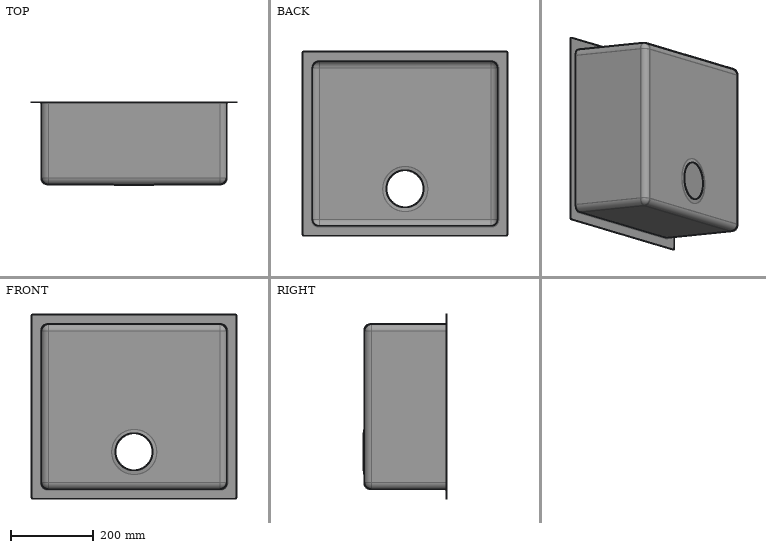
import cadquery as cq

rim_width = 500
rim_height = 450
rim_thickness = 1.0
rim_corner_radius = 5.0

bowl_width = 453.0
bowl_height = 403.0
bowl_depth = 201.0
wall_thickness = rim_thickness
bowl_edge_radius = 17.0
rim_blend_radius = 1.5

total_depth = 202.5
drain_outer_diameter = 110.0
drain_hole_diameter = 90.0
drain_height = -110.0
drain_drop = total_depth - bowl_depth


def block(width, height, depth):
    """Box centred in X and Z, running from the rim face at Y = 0 toward -Y."""
    return cq.Workplane("XZ").rect(width, height).extrude(depth)


def rounded_bowl(inset):
    """Solid bowl shape, moved inward from the outer surface by the inset."""
    radius = bowl_edge_radius - inset
    body = block(bowl_width - 2 * inset, bowl_height - 2 * inset, bowl_depth - inset)
    return body.edges("|Y").fillet(radius).faces("<Y").edges().fillet(radius)


def drain_seat(offset):
    """Tapered plug below the bowl floor, moved toward +Y by the offset."""
    return (
        cq.Workplane("XZ", origin=(0, offset - bowl_depth, drain_height))
        .circle(drain_outer_diameter / 2)
        .workplane(offset=drain_drop)
        .circle(drain_hole_diameter / 2)
        .loft()
    )


rim = block(rim_width, rim_height, rim_thickness).edges("|Y").fillet(rim_corner_radius)
outside = rim.union(rounded_bowl(0))

selection_margin = rim_thickness / 2
root_x = bowl_width / 2 + selection_margin
root_z = bowl_height / 2 + selection_margin
wall_root = cq.selectors.BoxSelector(
    (-root_x, -rim_thickness - selection_margin, -root_z),
    (root_x, -rim_thickness + selection_margin, root_z),
)
outside = outside.edges(wall_root).fillet(rim_blend_radius)

drain_hole = (
    cq.Workplane("XZ", origin=(0, 0, drain_height)).circle(drain_hole_diameter / 2).extrude(total_depth)
)

result = (
    outside.union(drain_seat(0))
    .cut(rounded_bowl(wall_thickness))
    .cut(drain_seat(wall_thickness))
    .cut(drain_hole)
)